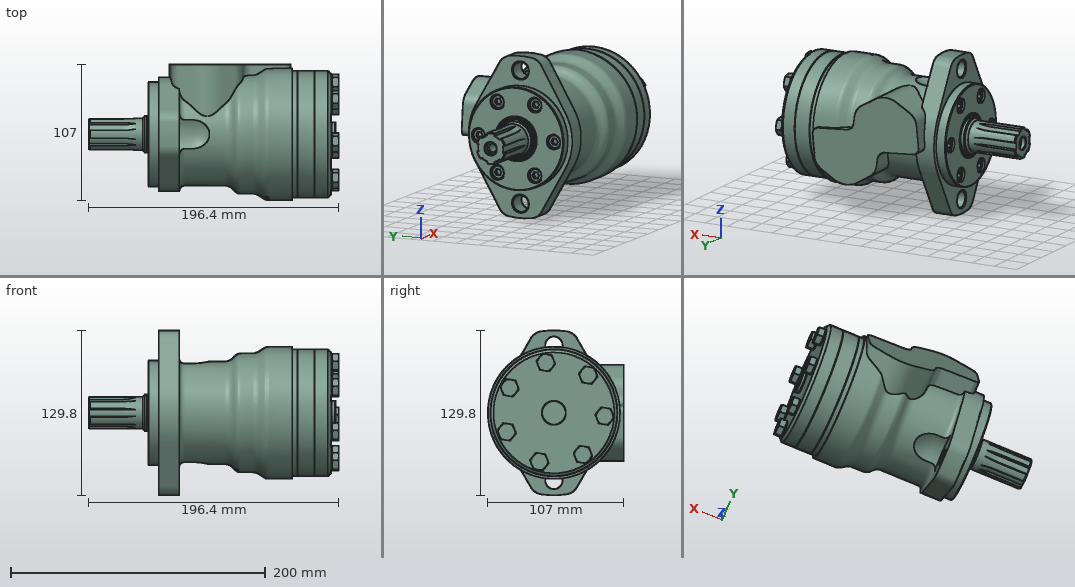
import cadquery as cq
import math


TIP = 0.0
PILOT_FACE = 46.6
FLANGE_FRONT = 54.9
FLANGE_BACK = 71.2
HOUSING_END = 159.8
SPACER_END = 164.0
RING_END = 177.4
COVER_END = 190.3
TOTAL_LENGTH = 196.4

SHAFT_R = 25.32 / 2
SHAFT_CHAMFER = 0.5
SHAFT_CHAMFER_LENGTH = 0.9
GROOVE_COUNT = 6
TOOTH_WIDTH = 6.2
GROOVE_ROOT_R = 10.85
GROOVE_FULL_DEPTH_END = 26.1
GROOVE_RUNOUT_R = 30.0
GROOVE_RUNOUT_SWEEP = 40.0
GROOVE_CLEARANCE = 1.0
CENTRE_HOLE_R = 6.65 / 2
CENTRE_BORE_R = 10.0 / 2
CENTRE_BORE_MOUTH_R = 11.0 / 2
CENTRE_BORE_DEPTH = 4.0
CENTRE_HOLE_DEPTH = 20.0
DRILL_TIP_HALF_ANGLE = 59.0
COLLAR_START = 42.3
COLLAR_RIM_START = 44.1
COLLAR_RIM_END = 45.3
COLLAR_RIM_R = 29.0 / 2
COLLAR_R = 28.56 / 2
COLLAR_NECK_R = 13.9

PILOT_R = 41.25
PILOT_CHAMFER = 0.6
SEAL_STEP_RADII = [36.0 / 2, 34.3 / 2, 32.6 / 2, 31.0 / 2]
SEAL_STEP_DEPTH = 0.4
SCREW_COUNT = 6
SCREW_CIRCLE_R = 32.6
SCREW_RECESS_R = 11.9 / 2
SCREW_RECESS_DEPTH = 1.9
SCREW_HEAD_R = 10.0 / 2
SCREW_HEAD_HEIGHT = 0.2
SOCKET_FLATS = 5.0
SOCKET_DEPTH = 3.0

FLANGE_TIP_R = 129.82 / 2
FLANGE_WAIST_R = 45.0
FLANGE_SIDE_ANGLE = 30.0
FLANGE_CORNER_R = 11.5
MOUNT_HOLE_R = 13.35 / 2
MOUNT_HOLE_OFFSET = 106.4 / 2
MOUNT_HOLE_CHAMFER = 0.8
SCALLOP_R = 24.0
SCALLOP_OFFSET = 60.0
SCALLOP_END = 80.8

NECK_R = 40.5
NECK_FILLET = 4.0
NECK_END = 107.0
MIDDLE_R = 46.9
MIDDLE_START = 119.3
MIDDLE_END = 129.0
REAR_R = 52.0
REAR_START = 141.4
FIRST_SLOPE = 45.0
FIRST_HOLLOW_LENGTH = 5.9
FIRST_CROWN_LENGTH = 4.1
SECOND_SLOPE = 31.5
SECOND_HOLLOW_LENGTH = 4.2
SECOND_CROWN_LENGTH = 3.5

BLOCK_FACE_Y = 55.0
BLOCK_ROOT_Y = 12.0
BLOCK_CENTRE_X = 110.9
BLOCK_HALF_OUTLINE = [
    (-48.2, -4.6, 5.0),
    (-45.2, 25.0, 12.0),
    (-18.1, 41.2, 20.0),
    (9.0, 25.2, 13.0),
    (11.5, 7.5, 7.4),
]

STACK_R = 100.0 / 2
SEAM_CHAMFER = 0.25
COVER_CHAMFER = 2.5
BOLT_COUNT = 7
BOLT_CIRCLE_R = 40.0
BOLT_START_ANGLE = -3.75
BOLT_HEX_ANGLE = -9.0
BOLT_FLATS = 13.0
BOLT_HEAD_CHAMFER = 0.6
WASHER_R = 13.0 / 2
WASHER_END = 191.2
PLUG_RIM_R = 19.0 / 2
PLUG_TOP_R = 18.63 / 2
PLUG_SEAT_R = 18.0 / 2
PLUG_SEAT_END = 191.0
PLUG_RIM_END = 193.3
PLUG_END = 193.9


def yz_plane(x):
    """Work plane across the motor axis at x: local x is Y and local y is Z."""
    return cq.Workplane("YZ", origin=(x, 0, 0))


def disc(radius, x_start, x_end):
    return yz_plane(x_start).circle(radius).extrude(x_end - x_start)


def revolved(profile):
    """Turn a closed (x, radius) profile around the X axis."""
    return profile.close().revolve(360, (0, 0, 0), (1, 0, 0))


def turned(points):
    return revolved(cq.Workplane("XY").polyline(points))


def ring_points(count, radius, start_angle=0.0):
    angles = [math.radians(start_angle + i * 360 / count) for i in range(count)]
    return [(radius * math.cos(a), radius * math.sin(a)) for a in angles]


def hex_corner_diameter(flats):
    return flats / math.cos(math.radians(30))


def tooth_flank_point(radius):
    """Point (Y, Z) at this radius on the +Z flank of the groove that is centred on +Y."""
    half_angle = math.pi / GROOVE_COUNT - math.asin(TOOTH_WIDTH / 2 / radius)
    return radius * math.cos(half_angle), radius * math.sin(half_angle)


def groove_section():
    """Groove section on the +Y side, between the parallel-sided teeth next to it."""
    root_y, root_z = tooth_flank_point(GROOVE_ROOT_R)
    top_y, top_z = tooth_flank_point(SHAFT_R + GROOVE_CLEARANCE)
    return (
        yz_plane(GROOVE_FULL_DEPTH_END)
        .moveTo(root_y, -root_z)
        .threePointArc((GROOVE_ROOT_R, 0), (root_y, root_z))
        .lineTo(top_y, top_z)
        .lineTo(top_y, -top_z)
        .close()
    )


def spline_groove():
    """Straight groove from the tip whose inner end curves outward along the cutter's arc."""
    straight = groove_section().extrude(TIP - GROOVE_FULL_DEPTH_END)
    cutter_axis_y = GROOVE_ROOT_R + GROOVE_RUNOUT_R
    runout = groove_section().revolve(
        GROOVE_RUNOUT_SWEEP, (cutter_axis_y, 0, 0), (cutter_axis_y, 1, 0)
    )
    return straight.union(runout)


def make_shaft():
    shaft = turned([
        (TIP, 0),
        (TIP, SHAFT_R - SHAFT_CHAMFER),
        (TIP + SHAFT_CHAMFER_LENGTH, SHAFT_R),
        (COLLAR_START, SHAFT_R),
        (COLLAR_RIM_START, COLLAR_R),
        (COLLAR_RIM_START, COLLAR_RIM_R),
        (COLLAR_RIM_END, COLLAR_RIM_R),
        (COLLAR_RIM_END, COLLAR_NECK_R),
        (FLANGE_FRONT, COLLAR_NECK_R),
        (FLANGE_FRONT, 0),
    ])
    for i in range(GROOVE_COUNT):
        shaft = shaft.cut(spline_groove().rotate((0, 0, 0), (1, 0, 0), i * 360 / GROOVE_COUNT))
    tip_length = CENTRE_HOLE_R / math.tan(math.radians(DRILL_TIP_HALF_ANGLE))
    centre_hole = turned([
        (TIP, 0),
        (TIP, CENTRE_BORE_MOUTH_R),
        (TIP + CENTRE_BORE_MOUTH_R - CENTRE_BORE_R, CENTRE_BORE_R),
        (TIP + CENTRE_BORE_DEPTH, CENTRE_BORE_R),
        (TIP + CENTRE_BORE_DEPTH, CENTRE_HOLE_R),
        (TIP + CENTRE_HOLE_DEPTH, CENTRE_HOLE_R),
        (TIP + CENTRE_HOLE_DEPTH + tip_length, 0),
    ])
    return shaft.cut(centre_hole)


def screw_recess():
    """Round recess on the X axis around a low screw head that has a hexagon socket."""
    floor = PILOT_FACE + SCREW_RECESS_DEPTH
    head_top = floor - SCREW_HEAD_HEIGHT
    recess = disc(SCREW_RECESS_R, PILOT_FACE, floor).cut(disc(SCREW_HEAD_R, head_top, floor))
    socket = yz_plane(head_top).polygon(6, hex_corner_diameter(SOCKET_FLATS)).extrude(SOCKET_DEPTH)
    return recess.union(socket)


def make_front_cover():
    cover = turned([
        (PILOT_FACE, COLLAR_NECK_R),
        (PILOT_FACE, PILOT_R - PILOT_CHAMFER),
        (PILOT_FACE + PILOT_CHAMFER, PILOT_R),
        (FLANGE_FRONT, PILOT_R),
        (FLANGE_FRONT, COLLAR_NECK_R),
    ])
    for step, radius in enumerate(SEAL_STEP_RADII, start=1):
        cover = cover.cut(disc(radius, PILOT_FACE, PILOT_FACE + step * SEAL_STEP_DEPTH))
    for y, z in ring_points(SCREW_COUNT, SCREW_CIRCLE_R):
        cover = cover.cut(screw_recess().translate((0, y, z)))
    return cover


def make_flange():
    """Two-hole flange: a waist circle joined by tangent flats to the tip circle."""
    thickness = FLANGE_BACK - FLANGE_FRONT
    side = math.radians(FLANGE_SIDE_ANGLE)
    waist_y = FLANGE_WAIST_R * math.cos(side)
    waist_z = FLANGE_WAIST_R * math.sin(side)
    flat_length = math.sqrt(FLANGE_TIP_R**2 - FLANGE_WAIST_R**2)
    tip_y = waist_y - flat_length * math.sin(side)
    tip_z = waist_z + flat_length * math.cos(side)
    flange = (
        yz_plane(FLANGE_FRONT)
        .moveTo(waist_y, -waist_z)
        .threePointArc((FLANGE_WAIST_R, 0), (waist_y, waist_z))
        .lineTo(tip_y, tip_z)
        .threePointArc((0, FLANGE_TIP_R), (-tip_y, tip_z))
        .lineTo(-waist_y, waist_z)
        .threePointArc((-FLANGE_WAIST_R, 0), (-waist_y, -waist_z))
        .lineTo(-tip_y, -tip_z)
        .threePointArc((0, -FLANGE_TIP_R), (tip_y, -tip_z))
        .close()
        .extrude(thickness)
    )
    upper_corners = cq.selectors.BoxSelector(
        (FLANGE_FRONT - 1, -tip_y - 1, tip_z - 1),
        (FLANGE_BACK + 1, tip_y + 1, tip_z + 1),
    )
    for _ in range(2):
        flange = flange.edges("|X").edges(upper_corners).fillet(FLANGE_CORNER_R)
        flange = flange.rotate((0, 0, 0), (1, 0, 0), 180)
    return flange


def s_curve(profile, start, end, slope, hollow, crown):
    """Add a hollow arc, a straight slope and a crown arc that rise from start to end."""
    angle = math.radians(slope)
    half = angle / 2
    hollow_r = hollow / math.sin(angle)
    crown_r = crown / math.sin(angle)
    (x0, r0), (x1, r1) = start, end
    return (
        profile.lineTo(x0, r0)
        .threePointArc(
            (x0 + hollow_r * math.sin(half), r0 + hollow_r * (1 - math.cos(half))),
            (x0 + hollow, r0 + hollow_r * (1 - math.cos(angle))),
        )
        .lineTo(x1 - crown, r1 - crown_r * (1 - math.cos(angle)))
        .threePointArc(
            (x1 - crown_r * math.sin(half), r1 - crown_r * (1 - math.cos(half))),
            (x1, r1),
        )
    )


def make_barrel():
    diagonal = NECK_FILLET * (1 - math.sqrt(0.5))
    profile = (
        cq.Workplane("XY")
        .moveTo(FLANGE_FRONT, 0)
        .lineTo(FLANGE_FRONT, NECK_R)
        .lineTo(FLANGE_BACK, NECK_R)
        .lineTo(FLANGE_BACK, NECK_R + NECK_FILLET)
        .threePointArc(
            (FLANGE_BACK + diagonal, NECK_R + diagonal),
            (FLANGE_BACK + NECK_FILLET, NECK_R),
        )
    )
    profile = s_curve(profile, (NECK_END, NECK_R), (MIDDLE_START, MIDDLE_R),
                      FIRST_SLOPE, FIRST_HOLLOW_LENGTH, FIRST_CROWN_LENGTH)
    profile = s_curve(profile, (MIDDLE_END, MIDDLE_R), (REAR_START, REAR_R),
                      SECOND_SLOPE, SECOND_HOLLOW_LENGTH, SECOND_CROWN_LENGTH)
    return revolved(profile.lineTo(HOUSING_END, REAR_R).lineTo(HOUSING_END, 0))


def make_port_block():
    turned_half = [(-x, -z, radius) for x, z, radius in BLOCK_HALF_OUTLINE]
    corners = BLOCK_HALF_OUTLINE + turned_half
    block = (
        cq.Workplane("XZ", origin=(BLOCK_CENTRE_X, BLOCK_ROOT_Y, 0))
        .polyline([(x, z) for x, z, _ in corners])
        .close()
        .extrude(BLOCK_ROOT_Y - BLOCK_FACE_Y)
    )
    for x, z, radius in corners:
        corner_point = (BLOCK_CENTRE_X + x, (BLOCK_ROOT_Y + BLOCK_FACE_Y) / 2, z)
        block = block.edges(cq.selectors.NearestToPointSelector(corner_point)).fillet(radius)
    return block


def mounting_hole():
    """Through hole in the flange, bevelled at the front, along the X axis."""
    return turned([
        (FLANGE_FRONT, 0),
        (FLANGE_FRONT, MOUNT_HOLE_R + MOUNT_HOLE_CHAMFER),
        (FLANGE_FRONT + MOUNT_HOLE_CHAMFER, MOUNT_HOLE_R),
        (FLANGE_BACK, MOUNT_HOLE_R),
        (FLANGE_BACK, 0),
    ])


def scallop():
    """Round-ended clearance behind a mounting hole for the bolt head, along the X axis."""
    return disc(SCALLOP_R, FLANGE_BACK, SCALLOP_END).union(
        cq.Workplane("XY", origin=(SCALLOP_END, 0, 0)).sphere(SCALLOP_R)
        .intersect(disc(SCALLOP_R, FLANGE_BACK, SCALLOP_END + SCALLOP_R))
    )


def make_housing():
    barrel = make_barrel()
    for z in (SCALLOP_OFFSET, -SCALLOP_OFFSET):
        barrel = barrel.cut(scallop().translate((0, 0, z)))
    housing = barrel.union(make_flange()).union(make_port_block())
    for z in (MOUNT_HOLE_OFFSET, -MOUNT_HOLE_OFFSET):
        housing = housing.cut(mounting_hole().translate((0, 0, z)))
    return housing


def make_spacer():
    return disc(STACK_R, HOUSING_END, SPACER_END).faces(">X").edges().chamfer(SEAM_CHAMFER)


def make_gear_ring():
    return disc(STACK_R, SPACER_END, RING_END).edges().chamfer(SEAM_CHAMFER)


def cover_bolt():
    """Washer and chamfered hexagon head on the X axis."""
    corner_d = hex_corner_diameter(BOLT_FLATS)
    washer = disc(WASHER_R, COVER_END, WASHER_END)
    head = (
        yz_plane(WASHER_END)
        .transformed(rotate=(0, 0, BOLT_HEX_ANGLE))
        .polygon(6, corner_d)
        .extrude(TOTAL_LENGTH - WASHER_END)
    )
    envelope = disc(corner_d / 2, WASHER_END, TOTAL_LENGTH).edges().chamfer(BOLT_HEAD_CHAMFER)
    return washer.union(head.intersect(envelope))


def drain_plug():
    seat = disc(PLUG_SEAT_R, COVER_END, PLUG_SEAT_END)
    rim = disc(PLUG_RIM_R, PLUG_SEAT_END, PLUG_RIM_END)
    return seat.union(rim).union(disc(PLUG_TOP_R, PLUG_RIM_END, PLUG_END))


def make_end_cover():
    cover = disc(STACK_R, RING_END, COVER_END)
    cover = cover.faces("<X").edges().chamfer(SEAM_CHAMFER)
    cover = cover.faces(">X").edges().chamfer(COVER_CHAMFER)
    for y, z in ring_points(BOLT_COUNT, BOLT_CIRCLE_R, BOLT_START_ANGLE):
        cover = cover.union(cover_bolt().translate((0, y, z)))
    return cover.union(drain_plug())


shaft = make_shaft()
front_cover = make_front_cover()
housing = make_housing()
spacer = make_spacer()
gear_ring = make_gear_ring()
end_cover = make_end_cover()

result = cq.Compound.makeCompound([
    shaft.val(),
    front_cover.val(),
    housing.val(),
    spacer.val(),
    gear_ring.val(),
    end_cover.val(),
])